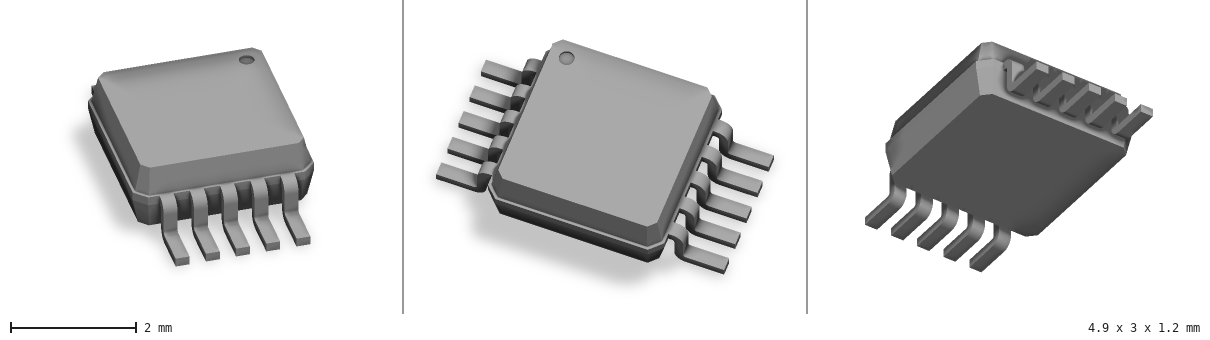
import cadquery as cq
import math

span_x = 4.9
body_width = 3.0
band_corner_cut = 0.2
upper_corner_cut = 0.18

standoff = 0.11
lower_height = 0.47
band_height = 0.15
upper_height = 0.47
band_bottom = standoff + lower_height
band_top = band_bottom + band_height

draft_angle = 12.0
upper_step = 0.0465

lead_count = 5
lead_pitch = 0.5
lead_width = 0.23
lead_thickness = band_height
inner_bend = 0.05
outer_bend = inner_bend + lead_thickness
shank_outer_x = 1.755
lead_root_x = body_width / 2 - upper_step

mark_diameter = 0.25
mark_depth = 0.05
mark_inset = 0.445


def octagon(side, cut):
    """Points of a square with all four corners cut at 45 degrees."""
    half = side / 2
    near = half - cut
    return [
        (half, -near), (half, near), (near, half), (-near, half),
        (-half, near), (-half, -near), (-near, -half), (near, -half),
    ]


def make_body():
    """Straight middle band with a drafted half above and below it."""
    band_outline = octagon(body_width, band_corner_cut)
    upper_outline = octagon(body_width - 2 * upper_step, upper_corner_cut)
    bottom_plane = cq.Workplane("XY", origin=(0, 0, band_bottom))
    top_plane = cq.Workplane("XY", origin=(0, 0, band_top))
    band = bottom_plane.polyline(band_outline).close().extrude(band_height)
    lower = bottom_plane.polyline(band_outline).close().extrude(-lower_height, taper=draft_angle)
    upper = top_plane.polyline(upper_outline).close().extrude(upper_height, taper=draft_angle)
    return band.union(lower).union(upper)


def arc_middle(center_x, center_z, radius, angle):
    """Point on a bend, used as the middle of its quarter arc."""
    turn = math.radians(angle)
    return center_x + radius * math.cos(turn), center_z + radius * math.sin(turn)


def make_left_lead():
    """Gull-wing lead centred on y = 0, pointing toward -X."""
    tip_x = -span_x / 2
    outer_x = -shank_outer_x
    inner_x = outer_x + lead_thickness
    foot_bend_x = outer_x - inner_bend
    foot_bend_z = outer_bend
    top_bend_x = outer_x + outer_bend
    top_bend_z = band_top - outer_bend
    return (
        cq.Workplane("XZ", origin=(0, lead_width / 2, 0))
        .moveTo(tip_x, 0)
        .lineTo(foot_bend_x, 0)
        .threePointArc(arc_middle(foot_bend_x, foot_bend_z, outer_bend, -45), (inner_x, foot_bend_z))
        .lineTo(inner_x, top_bend_z)
        .threePointArc(arc_middle(top_bend_x, top_bend_z, inner_bend, 135), (top_bend_x, band_bottom))
        .lineTo(-lead_root_x, band_bottom)
        .lineTo(-lead_root_x, band_top)
        .lineTo(top_bend_x, band_top)
        .threePointArc(arc_middle(top_bend_x, top_bend_z, outer_bend, 135), (outer_x, top_bend_z))
        .lineTo(outer_x, foot_bend_z)
        .threePointArc(arc_middle(foot_bend_x, foot_bend_z, inner_bend, -45), (foot_bend_x, lead_thickness))
        .lineTo(tip_x, lead_thickness)
        .close()
        .extrude(lead_width)
    )


def add_leads(body):
    """Equal rows of leads on the -X and +X sides."""
    left_lead = make_left_lead()
    right_lead = left_lead.mirror("YZ")
    for index in range(lead_count):
        lead_y = (index - (lead_count - 1) / 2) * lead_pitch
        body = body.union(left_lead.translate((0, lead_y, 0)))
        body = body.union(right_lead.translate((0, lead_y, 0)))
    return body


def cut_pin_mark(body):
    """Shallow round recess in the top face at the (-X, +Y) corner."""
    mark_offset = body_width / 2 - mark_inset
    mark = (
        cq.Workplane("XY", origin=(-mark_offset, mark_offset, band_top + upper_height))
        .circle(mark_diameter / 2)
        .extrude(-mark_depth)
    )
    return body.cut(mark)


result = cut_pin_mark(add_leads(make_body()))